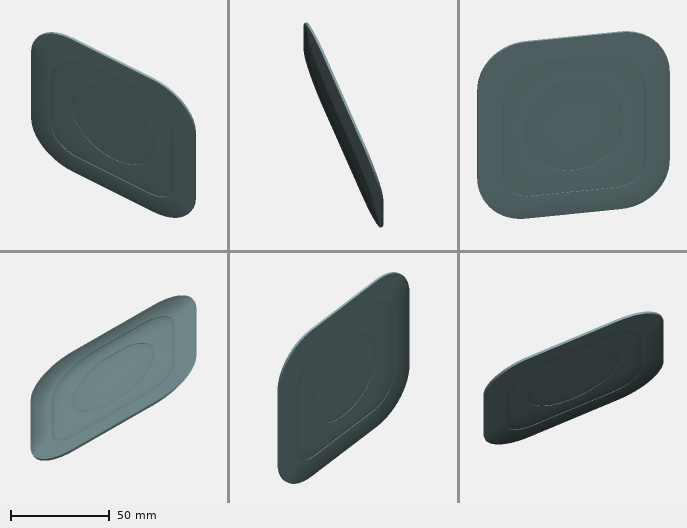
import cadquery as cq
import math

plate_side = 100.0
plate_thickness = 1.2
plate_corner_radius = 25.0

recess_side = 75.0
recess_depth = 0.3
recess_top_left_radius = 25.0
recess_top_right_radius = 20.0
recess_bottom_radius = 15.0

disc_radius = 25.5
disc_flat_height = 24.2
disc_depth = 0.2

front_y = -plate_thickness / 2


def front_plane(y):
    """Plane facing -Y, with local x along +X and local y along +Z."""
    return cq.Workplane("XZ", origin=(0, y, 0))


def rounded_square(y, side, depth, top_left, top_right, bottom_right, bottom_left):
    """Square block from y toward +Y, with its own radius at each corner."""
    half = side / 2
    block = front_plane(y).rect(side, side).extrude(-depth)
    corners = (
        (-half, half, top_left),
        (half, half, top_right),
        (half, -half, bottom_right),
        (-half, -half, bottom_left),
    )
    for x, z, radius in corners:
        corner_edge = cq.selectors.NearestToPointSelector((x, y + depth / 2, z))
        block = block.edges(corner_edge).fillet(radius)
    return block


def flatted_disc(y, depth):
    """Disc from y toward +Y, with a straight flat across its top."""
    half_flat = math.sqrt(disc_radius**2 - disc_flat_height**2)
    return (
        front_plane(y)
        .moveTo(-half_flat, disc_flat_height)
        .lineTo(half_flat, disc_flat_height)
        .threePointArc((0, -disc_radius), (-half_flat, disc_flat_height))
        .close()
        .extrude(-depth)
    )


plate = rounded_square(front_y, plate_side, plate_thickness, *[plate_corner_radius] * 4)

square_recess = rounded_square(
    front_y,
    recess_side,
    recess_depth,
    recess_top_left_radius,
    recess_top_right_radius,
    recess_bottom_radius,
    recess_bottom_radius,
)

round_recess = flatted_disc(front_y + recess_depth, disc_depth)

result = plate.cut(square_recess).cut(round_recess)